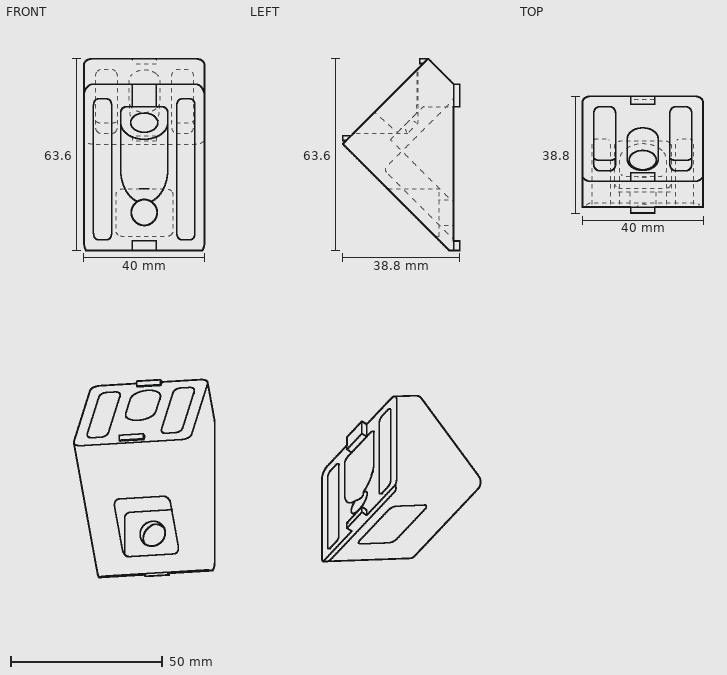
import cadquery as cq
import math


SIDE = 40.0
LONG_WALL = 52.0
SHORT_WALL = LONG_WALL - SIDE
CORNER_RADIUS = 3.0
TOE_TRIM = 1.5
DIAGONAL = math.sqrt(0.5)

BACK_Y = LONG_WALL * DIAGONAL
BACK_Z = BACK_Y - TOE_TRIM
TOP_Y = SHORT_WALL * DIAGONAL
TOP_Z = BACK_Z + SIDE * DIAGONAL
FRONT_TOP_Z = TOP_Z - TOP_Y

TAB_WIDTH = 8.0
FRONT_TAB_DEPTH = 2.0
UPPER_TAB_HEIGHT = 7.5
LOWER_TAB_HEIGHT = 3.2
FACE_TAB_LENGTH = 2.8
FACE_TAB_THICKNESS = 1.7

FRONT_POCKET_X = 13.8
FRONT_POCKET_WIDTH = 6.0
FRONT_POCKET_BOTTOM = 3.6
FRONT_POCKET_TOP = 50.2
FRONT_POCKET_RADIUS = 1.5

FACE_POCKET_X = 12.6
FACE_POCKET_WIDTH = 7.2
FACE_POCKET_RADIUS = 2.1
FACE_POCKET_BACK_MARGIN = 3.5
FACE_POCKET_LENGTH = 21.3
FACE_POCKET_BEVEL = 3.5

SEAT_WIDTH = 15.6
SEAT_ROOF_OFFSET = 7.5
SEAT_TOP_RADIUS = 2.0
SEAT_WALL = 10.0
SEAT_HOLE_DIAMETER = 9.0
SEAT_SLOT_TRAVEL = 0.02
FACE_SLOT_WIDTH = 10.2
FACE_SLOT_TRAVEL = 9.7
LEVEL_HOLE_DIAMETER = 8.5
LEVEL_HOLE_Z = 12.6
LEVEL_HOLE_WALL = 5.0
RECESS_WIDTH = 19.0
RECESS_HEIGHT = 15.6
RECESS_RADIUS = 2.0

FACE_NORMAL = (0, 1, 1)
UPHILL = (0, -1, 1)
INWARD = (0, -1, -1)
FACE_Y = (BACK_Y + TOP_Y) / 2
FACE_Z = (BACK_Z + TOP_Z) / 2
SEAT_Y = FACE_Y - SEAT_WALL * DIAGONAL
SEAT_Z = FACE_Z - SEAT_WALL * DIAGONAL


def prism(points, width, x_center=0.0):
    """Extrude a Y-Z outline symmetrically about a plane of constant X."""
    outline = cq.Workplane("YZ").polyline(points).close()
    return outline.extrude(width / 2, both=True).translate((x_center, 0, 0))


def make_body():
    outline = [
        (0, -TOE_TRIM),
        (BACK_Y, BACK_Z),
        (TOP_Y, TOP_Z),
        (0, FRONT_TOP_Z),
    ]
    body = prism(outline, SIDE)
    body = body.edges("|(0, 1, 1)").fillet(CORNER_RADIUS)
    trim = cq.Workplane("XY").box(2 * SIDE, 2 * SIDE, TOE_TRIM, centered=(True, True, False))
    return body.cut(trim.translate((0, 0, -TOE_TRIM)))


def make_tab(y_min, y_max, z_min, z_max):
    return prism([(y_min, z_min), (y_max, z_min), (y_max, z_max), (y_min, z_max)], TAB_WIDTH)


def make_face_tab(y_max, z_max):
    """Tab with a level top whose sloped underside lies on the mounting face."""
    face_y = y_max - FACE_TAB_LENGTH
    bottom = z_max - FACE_TAB_THICKNESS
    return prism(
        [
            (face_y, z_max),
            (y_max, z_max),
            (y_max, bottom),
            (face_y + FACE_TAB_THICKNESS, bottom),
        ],
        TAB_WIDTH,
    )


def make_front_pocket(x_center):
    """Wedge with its two sloped walls meeting in a rounded root."""
    depth = (FRONT_POCKET_TOP - FRONT_POCKET_BOTTOM) / 2
    middle = (FRONT_POCKET_TOP + FRONT_POCKET_BOTTOM) / 2
    outline = [(0, FRONT_POCKET_BOTTOM), (depth, middle), (0, FRONT_POCKET_TOP)]
    pocket = prism(outline, FRONT_POCKET_WIDTH, x_center)
    return pocket.edges("not <Y").fillet(FRONT_POCKET_RADIUS)


def make_face_pocket(x_center):
    """Wedge with a level floor, an upright front wall and a bevel between them."""
    back = BACK_Y - FACE_POCKET_BACK_MARGIN
    front = back - FACE_POCKET_LENGTH
    floor = BACK_Z + FACE_POCKET_BACK_MARGIN
    outline = [
        (back, floor),
        (front, floor + FACE_POCKET_LENGTH),
        (front, floor + FACE_POCKET_BEVEL),
        (front + FACE_POCKET_BEVEL, floor),
    ]
    pocket = prism(outline, FACE_POCKET_WIDTH, x_center)
    return pocket.edges("not (>(0, 1, 1) or |X)").fillet(FACE_POCKET_RADIUS)


def make_screw_seat():
    """Round seat square to the mounting face, opened upward to a level roof."""
    radius = SEAT_WIDTH / 2
    seat_plane = cq.Plane(origin=(0, SEAT_Y, SEAT_Z), xDir=(1, 0, 0), normal=INWARD)
    round_seat = cq.Workplane(seat_plane).circle(radius).extrude(SIDE)
    roof_y = SEAT_Y - SEAT_ROOF_OFFSET * DIAGONAL
    roof_z = SEAT_Z + SEAT_ROOF_OFFSET * DIAGONAL
    opening = prism(
        [(0, roof_z), (roof_y, roof_z), (SEAT_Y, SEAT_Z), (0, SEAT_Z - SEAT_Y)],
        SEAT_WIDTH,
    )
    opening = opening.faces(">Z").edges("|Y").fillet(SEAT_TOP_RADIUS)
    return opening.union(round_seat)


def make_face_hole():
    """Screw hole flaring from all but round at the seat to a slot on the mounting face."""
    hole_plane = cq.Plane(origin=(0, SEAT_Y, SEAT_Z), xDir=UPHILL, normal=FACE_NORMAL)
    return (
        cq.Workplane(hole_plane)
        .slot2D(SEAT_SLOT_TRAVEL + SEAT_HOLE_DIAMETER, SEAT_HOLE_DIAMETER)
        .workplane(offset=SEAT_WALL)
        .center(FACE_SLOT_TRAVEL / 2, 0)
        .slot2D(FACE_SLOT_TRAVEL + FACE_SLOT_WIDTH, FACE_SLOT_WIDTH)
        .loft(ruled=True)
    )


def make_level_hole():
    """Screw hole through the front wall with a rectangular head recess behind it."""
    hole = cq.Workplane("XZ").center(0, LEVEL_HOLE_Z).circle(LEVEL_HOLE_DIAMETER / 2)
    hole = hole.extrude(-BACK_Y)
    recess = cq.Workplane("XZ", origin=(0, LEVEL_HOLE_WALL, 0)).center(0, LEVEL_HOLE_Z)
    recess = recess.rect(RECESS_WIDTH, RECESS_HEIGHT).extrude(-BACK_Y)
    recess = recess.edges("|Y").fillet(RECESS_RADIUS)
    return hole.union(recess)


result = make_body()

result = result.union(make_tab(-FRONT_TAB_DEPTH, 0, FRONT_TOP_Z - UPPER_TAB_HEIGHT, FRONT_TOP_Z))
result = result.union(make_tab(-FRONT_TAB_DEPTH, 0, 0, LOWER_TAB_HEIGHT))
result = result.union(make_face_tab(TOP_Y + FACE_TAB_LENGTH, TOP_Z))
result = result.union(make_face_tab(BACK_Y, BACK_Z + FACE_TAB_LENGTH))

for side in (-1, 1):
    result = result.cut(make_front_pocket(side * FRONT_POCKET_X))
    result = result.cut(make_face_pocket(side * FACE_POCKET_X))

result = result.cut(make_screw_seat())
result = result.cut(make_face_hole())
result = result.cut(make_level_hole())